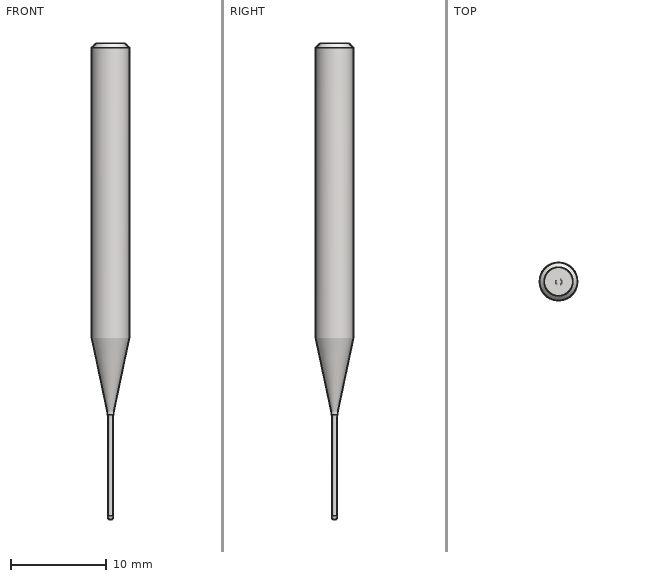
import cadquery as cq
import math

total_length = 50.0

shank_diameter = 4.0
shank_chamfer = 0.5
shank_start = 19.1

collar_diameter = 0.72
collar_top = 11.37
collar_bottom = 11.05

neck_root_diameter = 0.6
neck_diameter = 0.56
neck_top = 10.7
neck_bottom = 0.58

cutting_diameter = 0.6
cutting_length = 0.45

shank_radius = shank_diameter / 2
collar_radius = collar_diameter / 2
neck_root_radius = neck_root_diameter / 2
neck_radius = neck_diameter / 2
ball_radius = cutting_diameter / 2
ball_diagonal = ball_radius * math.sqrt(0.5)


def spin(profile):
    """Close a half-profile lying on the -Y side and revolve it about the Z axis."""
    return profile.close().revolve(360, (0, 0), (0, 1))


def make_holder():
    """Shank, tapered shoulder, collar and neck, from the cutting tip upwards."""
    profile = (
        cq.Workplane("YZ")
        .moveTo(0, cutting_length)
        .lineTo(-ball_radius, cutting_length)
        .lineTo(-neck_radius, neck_bottom)
        .lineTo(-neck_radius, neck_top)
        .lineTo(-neck_root_radius, collar_bottom)
        .lineTo(-collar_radius, collar_bottom)
        .lineTo(-collar_radius, collar_top)
        .lineTo(-shank_radius, shank_start)
        .lineTo(-shank_radius, total_length - shank_chamfer)
        .lineTo(-(shank_radius - shank_chamfer), total_length)
        .lineTo(0, total_length)
    )
    return spin(profile)


def make_cutting_tip():
    """Short cylinder ending in a hemisphere."""
    profile = (
        cq.Workplane("YZ")
        .moveTo(0, 0)
        .threePointArc((-ball_diagonal, ball_radius - ball_diagonal), (-ball_radius, ball_radius))
        .lineTo(-ball_radius, cutting_length)
        .lineTo(0, cutting_length)
    )
    return spin(profile)


holder = make_holder()
cutting_tip = make_cutting_tip()

result = cq.Compound.makeCompound([holder.val(), cutting_tip.val()])